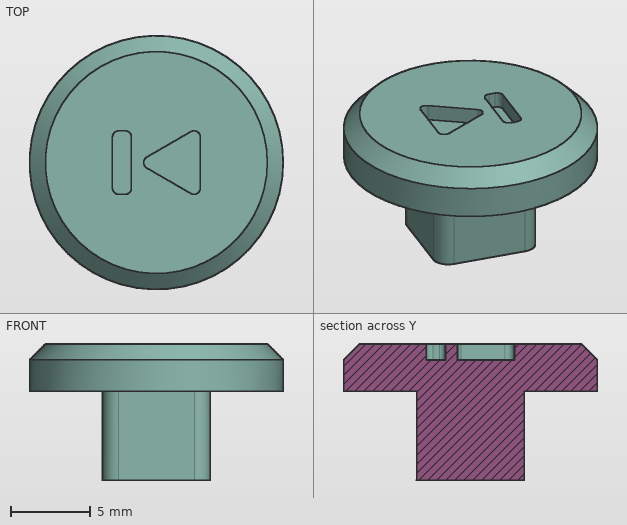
import cadquery as cq
import math

cap_diameter = 16.0
total_height = 8.6
cap_height = 3.0
cap_chamfer = 1.0

stem_width = 6.8
stem_corner_radius = 1.0
stem_height = total_height - cap_height

symbol_length = 4.0
symbol_half_width = 2.77
symbol_corner_radius = 0.4
symbol_depth = 1.0
bar_width = 1.2


def make_cap():
    """Disc standing on Z = 0 with a chamfered top rim."""
    disc = cq.Workplane("XY").circle(cap_diameter / 2).extrude(cap_height)
    return disc.faces(">Z").edges().chamfer(cap_chamfer)


def make_stem():
    """Square post with rounded corners, hanging below the cap."""
    post = cq.Workplane("XY").rect(stem_width, stem_width).extrude(-stem_height)
    return post.edges("|Z").fillet(stem_corner_radius)


def make_bar_pocket():
    """Rounded bar that cuts down from the cap top."""
    bar_center = -symbol_half_width + bar_width / 2
    bar = (
        cq.Workplane("XY", origin=(bar_center, 0, cap_height))
        .rect(bar_width, symbol_length)
        .extrude(-symbol_depth)
    )
    return bar.edges("|Z").fillet(symbol_corner_radius)


def make_triangle_pocket():
    """Equilateral triangle with rounded corners that cuts down from the cap top."""
    half_side = symbol_length / 2 - symbol_corner_radius
    base_x = symbol_half_width - symbol_corner_radius
    tip_x = base_x - math.sqrt(3) * half_side
    return (
        cq.Workplane("XY", origin=(0, 0, cap_height))
        .polyline([(base_x, -half_side), (base_x, half_side), (tip_x, 0)])
        .close()
        .offset2D(symbol_corner_radius)
        .extrude(-symbol_depth)
    )


body = make_cap().union(make_stem())
result = body.cut(make_bar_pocket()).cut(make_triangle_pocket())